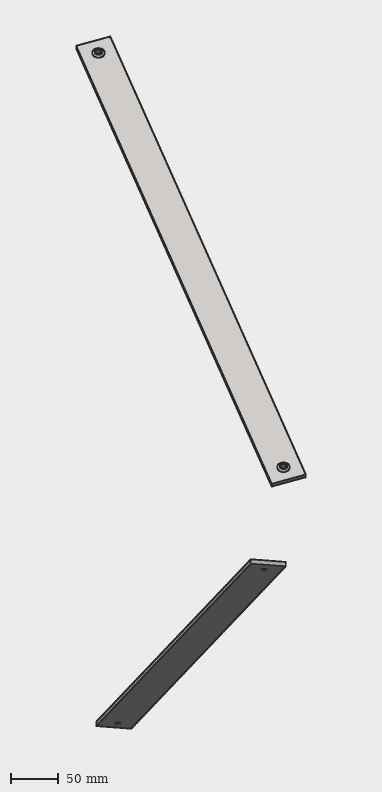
import cadquery as cq

length = 622.0
width = 38.0
thickness = 4.85

collar_height = 2.0
collar_base_diameter = 13.0
collar_top_diameter = 8.0
hole_diameter = 5.5
hole_end_distance = 17.0
overall_height = thickness + collar_height

collar_x = length / 2 - hole_end_distance
collar_centers = [(-collar_x, 0), (collar_x, 0)]


def make_strip():
    return cq.Workplane("XY").box(length, width, thickness, centered=(True, True, False))


def make_collar(center):
    """Conical collar standing on the top face of the strip."""
    return (
        cq.Workplane("XY", origin=(*center, thickness))
        .circle(collar_base_diameter / 2)
        .workplane(offset=collar_height)
        .circle(collar_top_diameter / 2)
        .loft(ruled=True)
    )


result = make_strip()
for collar_center in collar_centers:
    result = result.union(make_collar(collar_center))

holes = cq.Workplane("XY").pushPoints(collar_centers).circle(hole_diameter / 2).extrude(overall_height)
result = result.cut(holes)